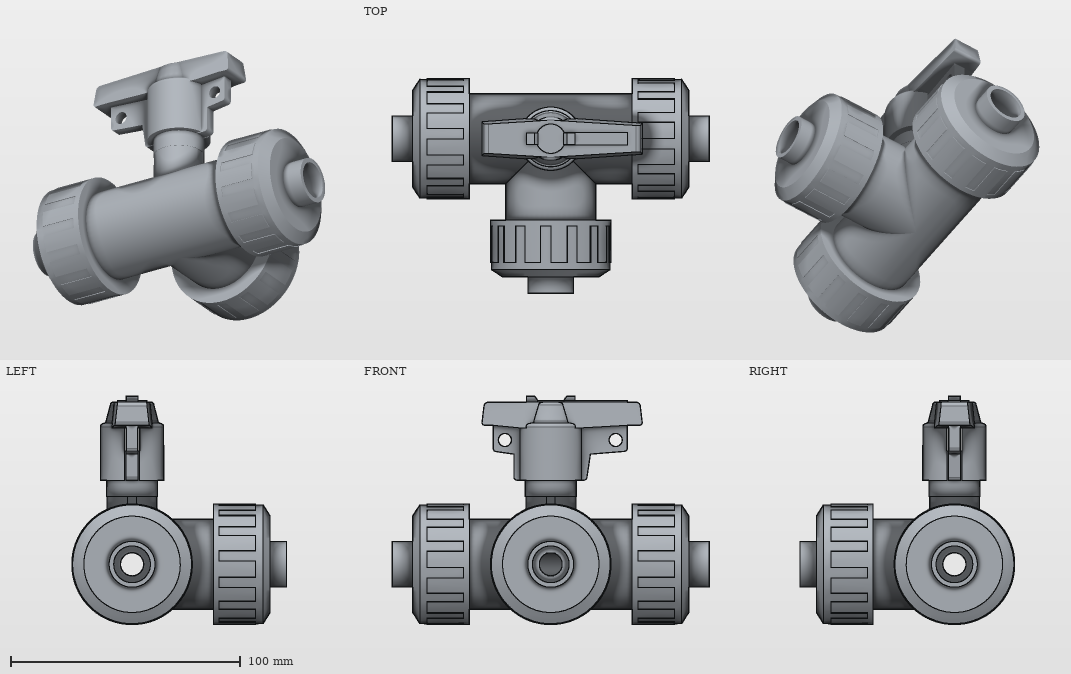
import cadquery as cq
import math


body_radius = 19.65
run_end = 69.0
branch_end = 67.3
pipe_radius = 10.0
socket_radius = 8.0
bore_radius = 5.0

nut_radius = 26.25
nut_start = 35.4
nut_recess_start = 37.9
nut_grip_end = 53.8
nut_cone_start = 57.0
nut_end = 60.1
nut_end_radius = 21.0
nut_recess_depth = 0.35
nut_recess_width = 4.6
nut_recess_count = 14
nut_recess_pitch = 360 / nut_recess_count
nut_first_recess = 4.8

stem_radius = 11.15
neck_radius = 11.0
neck_top = 29.4
stem_core_top = 49.4
notch_width = 3.9
notch_depth = 0.3
notch_bottom = 24.1

hub_radius = 13.8
hub_bottom = 36.55
hub_shoulder_round = 1.6
hub_shoulder_z = 61.4
cone_foot_radius = 11.35
cone_foot_fillet = 0.9
cone_top_radius = 9.5
cone_top_round = 1.3
hub_slot_width = 6.5

bar_top = 70.6
bar_bottom = 60.5
bar_middle_bottom = 59.4
bar_left = -28.9
bar_right = 38.8
bar_left_half_width = 6.3
bar_middle_half_width = 8.1
bar_right_half_width = 5.65
bar_end_allowance = 5.0
bar_draft = 6.8
bar_top_round = 2.0
bar_bottom_round = 1.2

fin_thickness = 5.15
fin_left = -25.1
fin_right = 33.4
fin_outer_bottom = 49.2
fin_step_left = -16.1
fin_step_right = 17.3
fin_step_z = 47.9
fin_foot_right = 15.6
fin_corner_round = 1.5
fin_hole_radius = 2.8
fin_hole_z = 54.1
fin_hole_inset = 5.15

mark_top = 71.4
disc_radius = 6.4
strip_width = 5.5
pointer_top = 73.17
pointer_width = 5.2
pointer_outer = 10.65
pointer_crest = 7.0
pointer_inner = 5.6


def cylinder_up(radius, bottom, top):
    return cq.Workplane("XY").workplane(offset=bottom).circle(radius).extrude(top - bottom)


def plate(points, thickness):
    """Plate with an outline in X and Z, centred on Y = 0."""
    return cq.Workplane("XZ").polyline(points).close().extrude(thickness / 2, both=True)


def round_corners(body, corners, radius):
    """Fillet the edges along Y that pass through the given (x, z) corners of a plate."""
    for x, z in corners:
        corner_edge = cq.selectors.NearestToPointSelector((x, 0, z))
        body = body.edges("|Y").edges(corner_edge).fillet(radius)
    return body


def make_nut():
    """Union nut along +Z: a plain core inside a grip sleeve whose recesses stop short of its inner end."""
    core_radius = nut_radius - nut_recess_depth
    core_profile = [
        (0, nut_start),
        (core_radius, nut_start),
        (core_radius, nut_cone_start),
        (nut_end_radius, nut_end),
        (0, nut_end),
    ]
    core = cq.Workplane("XZ").polyline(core_profile).close().revolve(360, (0, 0, 0), (0, 1, 0))
    sleeve = cylinder_up(nut_radius, nut_start, nut_grip_end)
    sleeve = sleeve.cut(cylinder_up(pipe_radius, nut_start, nut_grip_end))
    recess = cq.Workplane("XY").box(
        2 * nut_radius, nut_recess_width, nut_end - nut_recess_start, centered=(False, True, False)
    ).translate((body_radius, 0, nut_recess_start))
    for i in range(nut_recess_count):
        angle = nut_first_recess + i * nut_recess_pitch
        sleeve = sleeve.cut(recess.rotate((0, 0, 0), (0, 0, 1), angle))
    return core.union(sleeve)


def aim(port, heading):
    """Turn a port built along +Z (its +X becoming +Z) to a heading in degrees from -X about Z."""
    return port.rotate((0, 0, 0), (0, 1, 0), -90).rotate((0, 0, 0), (0, 0, 1), heading)


def make_port(pipe_end):
    port = cylinder_up(body_radius, 0, nut_start)
    return port.union(make_nut()).union(cylinder_up(pipe_radius, 0, pipe_end))


def make_passage(pipe_end):
    return cylinder_up(bore_radius, 0, pipe_end).union(cylinder_up(socket_radius, nut_start, pipe_end))


def make_stem():
    """Stem with a slightly thinner neck, notched on the -X and -Y sides."""
    stem = cylinder_up(neck_radius, 0, neck_top).union(cylinder_up(stem_radius, neck_top, stem_core_top))
    notch = cq.Workplane("XY").box(
        stem_radius, notch_width, neck_top - notch_bottom, centered=(False, True, False)
    ).translate((neck_radius - notch_depth, 0, notch_bottom))
    for angle in (180, 270):
        stem = stem.cut(notch.rotate((0, 0, 0), (0, 0, 1), angle))
    return stem


def make_hub():
    """Turned hub: cylinder, rounded shoulder, hollow fillet, cone and rounded rim; slotted along X."""
    foot_z = hub_shoulder_z + cone_foot_fillet
    profile = (
        cq.Workplane("XZ")
        .moveTo(0, hub_bottom)
        .lineTo(hub_radius, hub_bottom)
        .lineTo(hub_radius, hub_shoulder_z - hub_shoulder_round)
        .radiusArc((hub_radius - hub_shoulder_round, hub_shoulder_z), -hub_shoulder_round)
        .lineTo(cone_foot_radius + cone_foot_fillet, hub_shoulder_z)
        .radiusArc((cone_foot_radius, foot_z), cone_foot_fillet)
        .lineTo(cone_top_radius, bar_top - cone_top_round)
        .radiusArc((cone_top_radius - cone_top_round, bar_top), -cone_top_round)
        .lineTo(0, bar_top)
        .close()
    )
    hub = profile.revolve(360, (0, 0, 0), (0, 1, 0))
    slot = cq.Workplane("XY").box(
        2 * hub_radius, hub_slot_width, bar_bottom - hub_bottom, centered=(True, True, False)
    ).translate((0, 0, hub_bottom))
    return hub.cut(slot)


def make_bar():
    """Drafted six-sided bar, widest at the hub, trimmed to its side outline with rounded ends."""
    left_slope = (bar_middle_half_width - bar_left_half_width) / bar_left
    right_slope = (bar_middle_half_width - bar_right_half_width) / bar_right
    blank_left = bar_left - bar_end_allowance
    blank_right = bar_right + bar_end_allowance
    left_half = bar_middle_half_width - left_slope * blank_left
    right_half = bar_middle_half_width - right_slope * blank_right
    plan = [
        (blank_left, -left_half),
        (0, -bar_middle_half_width),
        (blank_right, -right_half),
        (blank_right, right_half),
        (0, bar_middle_half_width),
        (blank_left, left_half),
    ]
    blank = (
        cq.Workplane(cq.Plane(origin=(0, 0, bar_top), xDir=(1, 0, 0), normal=(0, 0, -1)))
        .polyline(plan).close()
        .extrude(bar_top - bar_middle_bottom, taper=-bar_draft)
    )
    flare = (bar_top - bar_bottom) * math.tan(math.radians(bar_draft))
    side = [
        (bar_left, bar_top),
        (bar_right, bar_top),
        (bar_right + flare, bar_bottom),
        (fin_right, bar_bottom),
        (hub_radius, bar_middle_bottom),
        (-hub_radius, bar_middle_bottom),
        (fin_left, bar_bottom),
        (bar_left - flare, bar_bottom),
    ]
    trim = plate(side, 4 * bar_middle_half_width)
    trim = round_corners(trim, (side[0], side[1]), bar_top_round)
    trim = round_corners(trim, (side[2], side[7]), bar_bottom_round)
    return blank.intersect(trim)


def make_fin():
    outline = [
        (fin_left, bar_bottom),
        (fin_left, fin_outer_bottom),
        (fin_step_left, fin_step_z),
        (fin_step_left, hub_bottom),
        (fin_foot_right, hub_bottom),
        (fin_step_right, fin_step_z),
        (fin_right, fin_outer_bottom),
        (fin_right, bar_bottom),
    ]
    fin = plate(outline, fin_thickness)
    fin = round_corners(fin, (outline[1], outline[3], outline[4], outline[6]), fin_corner_round)
    holes = (
        cq.Workplane("XZ")
        .pushPoints([(fin_left + fin_hole_inset, fin_hole_z), (fin_right - fin_hole_inset, fin_hole_z)])
        .circle(fin_hole_radius)
        .extrude(fin_thickness, both=True)
    )
    return fin.cut(holes)


def make_marks():
    """Round cap, flat strip along +X and two pointers with sloping inner ends."""
    marks = cylinder_up(disc_radius, bar_bottom, mark_top)
    strip = [(0, bar_bottom), (fin_right, bar_bottom), (fin_right, mark_top), (0, mark_top)]
    marks = marks.union(plate(strip, strip_width))
    for side in (-1, 1):
        pointer = [
            (side * pointer_inner, bar_bottom),
            (side * pointer_inner, mark_top),
            (side * pointer_crest, pointer_top),
            (side * pointer_outer, pointer_top),
            (side * pointer_outer, bar_bottom),
        ]
        marks = marks.union(plate(pointer, pointer_width))
    return marks


port_layout = [(0, run_end), (90, branch_end), (180, run_end)]

valve = make_stem()
for heading, pipe_end in port_layout:
    valve = valve.union(aim(make_port(pipe_end), heading))
for heading, pipe_end in port_layout:
    valve = valve.cut(aim(make_passage(pipe_end), heading))

result = valve.union(make_hub()).union(make_bar()).union(make_fin()).union(make_marks())